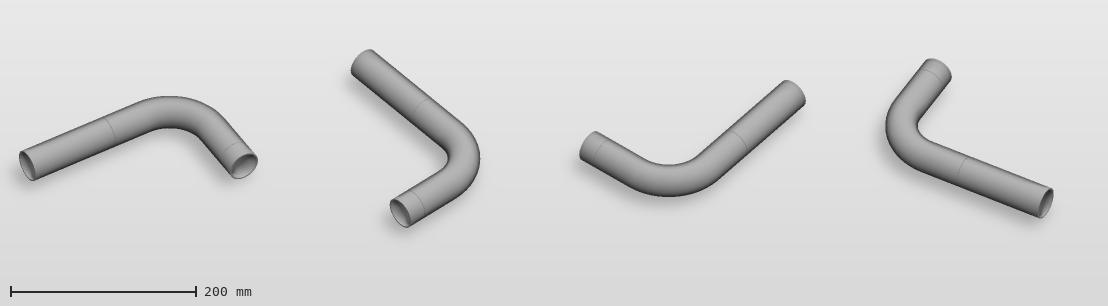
import cadquery as cq

OUTER_DIAMETER = 35.0
INNER_DIAMETER = 32.0

BEND_RADIUS = 54.0
LONG_LEG = 200.0
SHORT_LEG = 120.0

GROOVE_POSITION = 100.0
GROOVE_WIDTH = 1.0
GROOVE_DEPTH = 0.5

OUTER_RADIUS = OUTER_DIAMETER / 2
LONG_AXIS = cq.Vector(0, -1, 0)
SHORT_AXIS = cq.Vector(1, 0, 0)


def bent_rod(diameter):
    """Solid round rod: the long leg, a quarter-torus bend and the short leg."""
    long_length = LONG_LEG - BEND_RADIUS
    short_length = SHORT_LEG - BEND_RADIUS
    long_end = cq.Workplane("XZ", origin=(0, -LONG_LEG, 0))
    long_rod = long_end.circle(diameter / 2).extrude(-long_length)
    bend_start = cq.Workplane("XZ", origin=(0, -BEND_RADIUS, 0))
    bend = bend_start.circle(diameter / 2).revolve(90, (BEND_RADIUS, 1, 0), (BEND_RADIUS, 0, 0))
    bend_end = cq.Workplane("YZ", origin=(BEND_RADIUS, 0, 0))
    short_rod = bend_end.circle(diameter / 2).extrude(short_length)
    return long_rod.union(bend).union(short_rod)


def groove_ring(axis):
    """Triangular ring that cuts a V-groove into the leg running along axis."""
    profile_plane = cq.Plane(origin=axis * GROOVE_POSITION, xDir=axis, normal=(0, 0, 1))
    outside = OUTER_RADIUS + GROOVE_DEPTH
    return (
        cq.Workplane(profile_plane)
        .moveTo(0, OUTER_RADIUS - GROOVE_DEPTH)
        .lineTo(GROOVE_WIDTH, outside)
        .lineTo(-GROOVE_WIDTH, outside)
        .close()
        .revolve(360, (0, 0, 0), (1, 0, 0))
    )


result = bent_rod(OUTER_DIAMETER).cut(bent_rod(INNER_DIAMETER))
for leg_axis in (LONG_AXIS, SHORT_AXIS):
    result = result.cut(groove_ring(leg_axis))